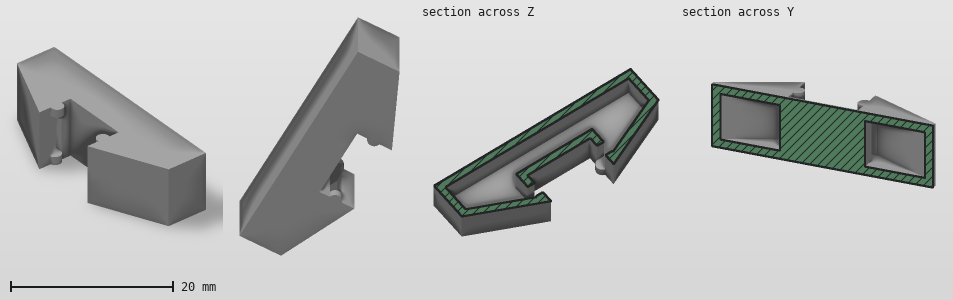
import cadquery as cq

length = 30.0
depth = 10.47
height = 8.4
end_depth = 5.85

notch_width = 9.5
notch_back = 5.58

wall = 1.05
plate = 1.17

tab_radius = 0.87
tab_center_from_back = 7.85
top_tab_reach = 1.1
bottom_tab_reach = 0.65
slot_width = 1.68

half_length = length / 2
half_notch = notch_width / 2
cavity_height = height - 2 * plate


def make_outline():
    """Symmetric outline with sloped front arms either side of the notch."""
    outline = [
        (-half_length, 0),
        (half_length, 0),
        (half_length, -end_depth),
        (half_notch, -depth),
        (half_notch, -notch_back),
        (-half_notch, -notch_back),
        (-half_notch, -depth),
        (-half_length, -end_depth),
    ]
    return cq.Workplane("XY").polyline(outline).close()


def make_tab(side, reach, bottom):
    """Round disc partly sunk into the side of the notch, as thick as a plate."""
    tip_x = half_notch - reach
    center_x = tip_x + tab_radius
    return (
        cq.Workplane("XY", origin=(0, 0, bottom))
        .center(side * center_x, -tab_center_from_back)
        .circle(tab_radius)
        .extrude(plate)
    )


def make_slot(side):
    """Opening through a notch side wall into the hollow interior."""
    return (
        cq.Workplane("XY", origin=(0, 0, plate))
        .center(side * (half_notch + wall / 2), -tab_center_from_back)
        .rect(wall, slot_width)
        .extrude(cavity_height)
    )


body = make_outline().extrude(height)
cavity = (
    make_outline()
    .offset2D(-wall, "intersection")
    .extrude(cavity_height)
    .translate((0, 0, plate))
)
result = body.cut(cavity)

for side in (-1, 1):
    result = result.cut(make_slot(side))
    result = result.union(make_tab(side, top_tab_reach, height - plate))
    result = result.union(make_tab(side, bottom_tab_reach, 0))